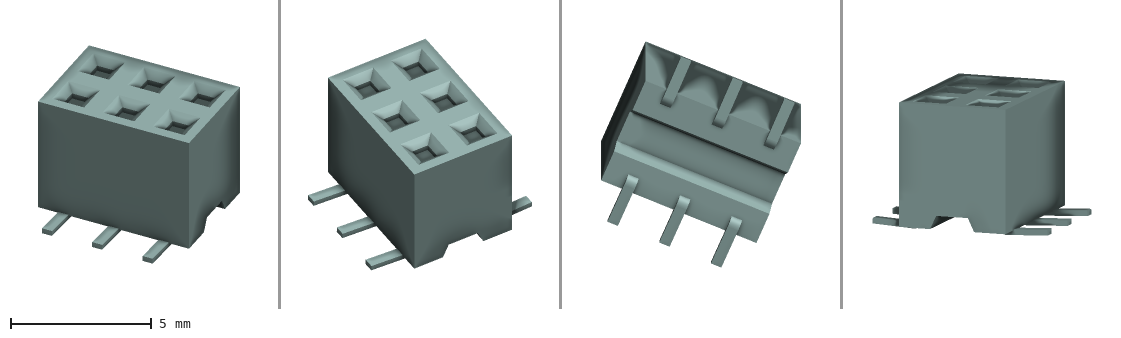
import cadquery as cq
import math

PITCH = 2.0
COLUMNS = 3
HOUSING_LENGTH = 6.0
HOUSING_WIDTH = 4.05
HOUSING_HEIGHT = 4.5

CHANNEL_BOTTOM_WIDTH = 1.68
CHANNEL_TOP_WIDTH = 1.2
CHANNEL_DEPTH = 0.49

SOCKET_MOUTH = 1.265
SOCKET_WELL = 0.65
LEAD_IN_DEPTH = 0.25
WELL_DEPTH = 0.21

TAIL_SPAN = 6.66
TAIL_WIDTH = 0.4
TAIL_THICKNESS = 0.2
TAIL_SLOPE = math.radians(3)
BEND_RADIUS = 0.4
BEND_CENTER_Y = 1.77
LOWEST_POINT = -0.18

column_places = [(i - (COLUMNS - 1) / 2) * PITCH for i in range(COLUMNS)]
socket_places = [(x, y) for x in column_places for y in (-PITCH / 2, PITCH / 2)]


def make_housing():
    housing = cq.Workplane("XY").box(
        HOUSING_LENGTH, HOUSING_WIDTH, HOUSING_HEIGHT, centered=(True, True, False)
    )
    channel = (
        cq.Workplane("YZ")
        .polyline([
            (-CHANNEL_BOTTOM_WIDTH / 2, 0),
            (CHANNEL_BOTTOM_WIDTH / 2, 0),
            (CHANNEL_TOP_WIDTH / 2, CHANNEL_DEPTH),
            (-CHANNEL_TOP_WIDTH / 2, CHANNEL_DEPTH),
        ])
        .close()
        .extrude(HOUSING_LENGTH / 2, both=True)
    )
    return housing.cut(channel)


def make_socket(x, y):
    lead_in = (
        cq.Workplane("XY", origin=(x, y, HOUSING_HEIGHT))
        .rect(SOCKET_MOUTH, SOCKET_MOUTH)
        .workplane(offset=-LEAD_IN_DEPTH)
        .rect(SOCKET_WELL, SOCKET_WELL)
        .loft(ruled=True)
    )
    well = (
        cq.Workplane("XY", origin=(x, y, HOUSING_HEIGHT - LEAD_IN_DEPTH))
        .rect(SOCKET_WELL, SOCKET_WELL)
        .extrude(-WELL_DEPTH)
    )
    return lead_in.union(well)


def make_tail(x):
    """Tail on the +Y side, with its rounded heel joining the housing underside."""
    bend_center_z = LOWEST_POINT + BEND_RADIUS

    def bend_point(angle):
        return (
            BEND_CENTER_Y + BEND_RADIUS * math.cos(angle),
            bend_center_z + BEND_RADIUS * math.sin(angle),
        )

    heel_start = bend_point(TAIL_SLOPE - math.pi / 2)
    heel_middle = bend_point(-3 * math.pi / 4)
    heel_end = bend_point(math.pi)
    tip_y = TAIL_SPAN / 2
    tip_z = heel_start[1] + (tip_y - heel_start[0]) * math.tan(TAIL_SLOPE)
    tip_top = (
        tip_y - TAIL_THICKNESS * math.sin(TAIL_SLOPE),
        tip_z + TAIL_THICKNESS * math.cos(TAIL_SLOPE),
    )
    top_run = tip_top[0] - BEND_CENTER_Y
    inner_corner = (BEND_CENTER_Y, tip_top[1] - top_run * math.tan(TAIL_SLOPE))
    return (
        cq.Workplane("YZ", origin=(x, 0, 0))
        .moveTo(*heel_end)
        .threePointArc(heel_middle, heel_start)
        .lineTo(tip_y, tip_z)
        .lineTo(*tip_top)
        .lineTo(*inner_corner)
        .lineTo(BEND_CENTER_Y, bend_center_z)
        .close()
        .extrude(TAIL_WIDTH / 2, both=True)
    )


result = make_housing()
for socket_x, socket_y in socket_places:
    result = result.cut(make_socket(socket_x, socket_y))
for tail_x in column_places:
    tail = make_tail(tail_x)
    result = result.union(tail).union(tail.mirror("XZ"))